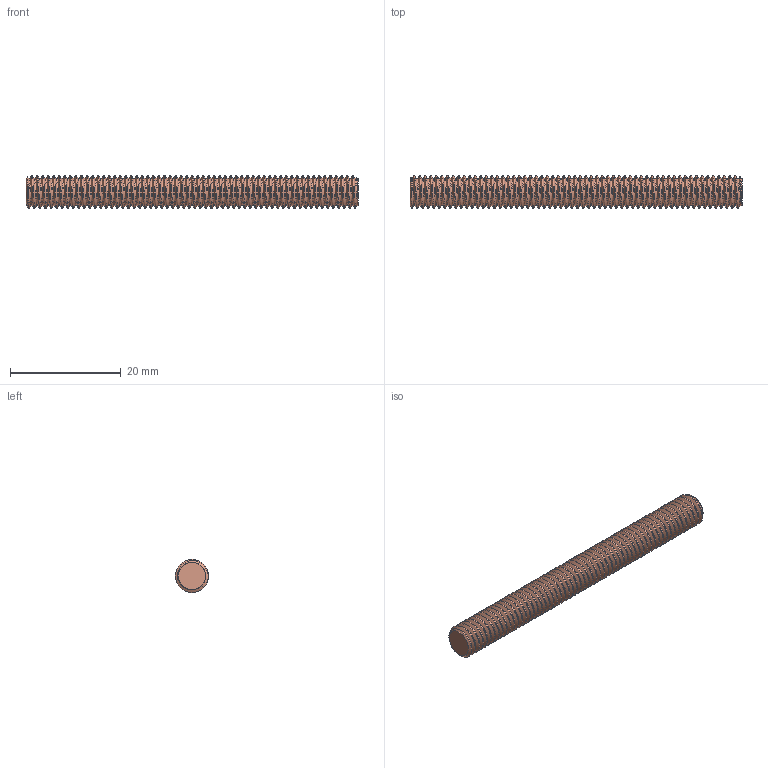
import cadquery as cq
import math

LENGTH = 60.0
MAJOR_RADIUS = 3.0
PITCH = 1.0

FLANK_ANGLE = math.radians(30)
CREST_HALF_WIDTH = PITCH / 16
ROOT_HALF_WIDTH = 3 * PITCH / 8
RIDGE_HEIGHT = (ROOT_HALF_WIDTH - CREST_HALF_WIDTH) / math.tan(FLANK_ANGLE)
CORE_RADIUS = MAJOR_RADIUS - RIDGE_HEIGHT

EMBED_DEPTH = 0.03
BASE_RADIUS = CORE_RADIUS - EMBED_DEPTH
BASE_HALF_WIDTH = ROOT_HALF_WIDTH + EMBED_DEPTH * math.tan(FLANK_ANGLE)

START_ANGLE = math.radians(225)
FULL_START_X = 0.4
FULL_TURNS = 59
FULL_END_X = FULL_START_X + FULL_TURNS * PITCH

TIP_SCALE = 0.02
TIP_INSET = 0.01
FADE_START_X = TIP_INSET
FADE_END_X = LENGTH - TIP_INSET
FADE_SAMPLES = 24


def ridge_corners(scale):
    """Axial offset and radius of the ridge's four corners at a given size."""
    base = scale * BASE_HALF_WIDTH
    crest = scale * CREST_HALF_WIDTH
    crest_radius = BASE_RADIUS + scale * (MAJOR_RADIUS - BASE_RADIUS)
    return [(-base, BASE_RADIUS), (-crest, crest_radius), (crest, crest_radius), (base, BASE_RADIUS)]


def ruled_faces(rails):
    """Faces joining each rail to the next, all the way round the ridge section."""
    return [cq.Face.makeRuledSurface(rail, rails[i - 1]) for i, rail in enumerate(rails)]


def ridge_solid(turns):
    """Solid made of successive turns, each a list of four rails, with a flat cap at each end."""
    faces = []
    for rails in turns:
        faces += ruled_faces(rails)
    for rails, position in ((turns[0], 0), (turns[-1], 1)):
        corners = [rail.positionAt(position) for rail in rails]
        faces.append(cq.Face.makeFromWires(cq.Wire.makePolygon(corners, close=True)))
    return cq.Solid.makeSolid(cq.Shell.makeShell(faces))


def helix_rail(start_x, radius):
    """One turn of helix about the X axis."""
    origin = cq.Vector(0, 0, 0)
    helix = cq.Wire.makeHelix(PITCH, PITCH, radius)
    helix = helix.rotate(origin, cq.Vector(0, 0, 1), math.degrees(START_ANGLE))
    helix = helix.rotate(origin, cq.Vector(1, 1, 1), 120)
    return helix.translate(cq.Vector(start_x, 0, 0)).Edges()[0]


def full_ridge():
    turns = []
    for turn in range(FULL_TURNS):
        start_x = FULL_START_X + turn * PITCH
        turns.append([helix_rail(start_x + offset, radius) for offset, radius in ridge_corners(1)])
    return ridge_solid(turns)


def faded_ridge(start_x, end_x, start_scale, end_scale):
    """One turn of ridge whose size and axial position change steadily."""
    rails = [[], [], [], []]
    for step in range(FADE_SAMPLES + 1):
        t = step / FADE_SAMPLES
        angle = START_ANGLE + 2 * math.pi * t
        centre_x = start_x + (end_x - start_x) * t
        scale = start_scale + (end_scale - start_scale) * t
        for rail, (offset, radius) in zip(rails, ridge_corners(scale)):
            rail.append(cq.Vector(centre_x + offset, radius * math.cos(angle), radius * math.sin(angle)))
    return ridge_solid([[cq.Edge.makeSpline(rail) for rail in rails]])


core = cq.Workplane("YZ").circle(CORE_RADIUS).extrude(LENGTH)
lead_in = faded_ridge(FADE_START_X, FULL_START_X, TIP_SCALE, 1)
run_out = faded_ridge(FULL_END_X, FADE_END_X, 1, TIP_SCALE)

result = core.union(full_ridge()).union(lead_in).union(run_out).solids()